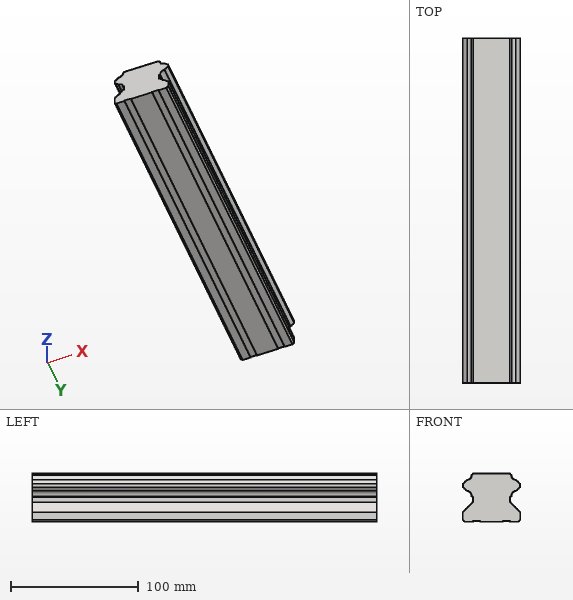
import cadquery as cq

length = 270.0
width = 45.0
height = 38.0
half_width = width / 2

top_half_width = 14.3
groove_floor = 15.7
nose_half_width = 22.5
neck_half_width = 14.5

upper_groove_top = 36.5
upper_groove_radius = 3.5
upper_groove_bottom = upper_groove_top - upper_groove_radius
upper_lip = groove_floor + upper_groove_radius

nose_bottom = 27.3
lower_bevel = 3.0
nose_top = upper_groove_bottom - (nose_half_width - upper_lip)
lower_lip = nose_half_width - lower_bevel

lower_groove_top = nose_bottom - lower_bevel
lower_groove_bottom = 20.2
lower_groove_radius = 4.0

neck_top = 19.5
foot_side_top = 7.5
neck_bottom = foot_side_top + half_width - neck_half_width
foot_chamfer = 1.5

relief_inner = 9.0
relief_outer = 14.3
relief_depth = 0.5

plug_diameter = 20.0
plug_depth = 2.7
plug_pitch = 105.0
plug_count = 3


def half_profile():
    """Cross-section of the +X half, from the underside up the flank to the top."""
    return (
        cq.Workplane("XZ", origin=(0, length / 2, 0))
        .moveTo(0, 0)
        .lineTo(relief_inner, 0)
        .lineTo(relief_inner, relief_depth)
        .lineTo(relief_outer, relief_depth)
        .lineTo(relief_outer, 0)
        .lineTo(half_width - foot_chamfer, 0)
        .lineTo(half_width, foot_chamfer)
        .lineTo(half_width, foot_side_top)
        .lineTo(neck_half_width, neck_bottom)
        .lineTo(neck_half_width, neck_top)
        .lineTo(groove_floor, lower_groove_bottom)
        .radiusArc((lower_lip, lower_groove_top), lower_groove_radius)
        .lineTo(nose_half_width, nose_bottom)
        .lineTo(nose_half_width, nose_top)
        .lineTo(upper_lip, upper_groove_bottom)
        .radiusArc((groove_floor, upper_groove_top), upper_groove_radius)
        .lineTo(top_half_width, height)
        .lineTo(0, height)
        .close()
    )


def make_rail():
    half = half_profile().extrude(length)
    return half.union(half.mirror("YZ")).clean()


def make_plugs():
    return (
        cq.Workplane("XY", origin=(0, 0, height))
        .rarray(2.7, plug_pitch, 1, plug_count)
        .circle(plug_diameter / 2)
        .extrude(-plug_depth)
    )


result = make_rail().union(make_plugs(), clean=False).solids()